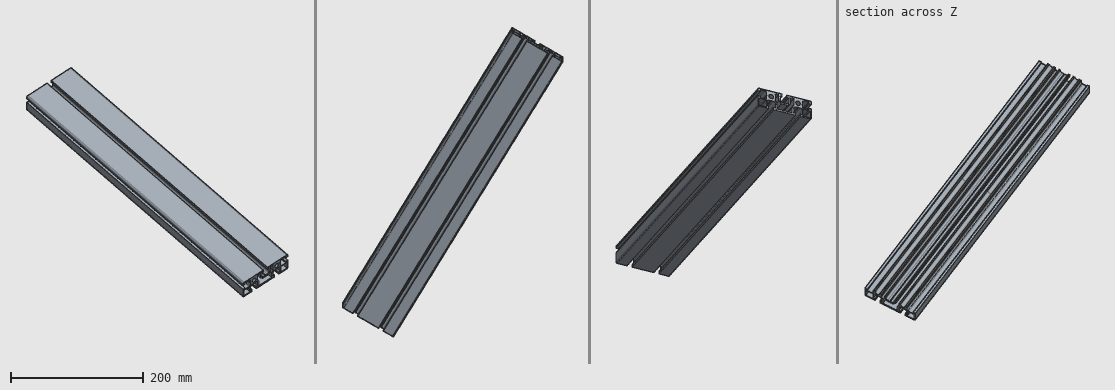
import cadquery as cq

LENGTH = 500
WIDTH = 90
HEIGHT = 32.0
EDGE_RADIUS = 2.5

SLOT_HALF_OPENING = 4.15
SLOT_HALF_CHANNEL = 7.0
SLOT_DEPTH = 15.0
SLOT_LIP = 4.3
SLOT_CORNER_RADIUS = 3.0
SLOT_GROOVE = 0.6
SIDE_SLOT_Z = 22.5
BOTTOM_SLOT_Y = 22.5

BORE_DIAMETER = 7.5

TOP_WALL = 3.0
BOTTOM_WALL = 3.0
SLOT_WALL = 2.9
SLOT_WALL_CHAMFER = 4.5
CAVITY_SHOULDER_TOP = 18.0
CAVITY_SHOULDER_BOTTOM = 12.0

HOLLOW_OUTER_WALL = 2.0
HOLLOW_SLOT_WALL = 1.25


def bar(half_width, bottom_z, top_z):
    """Bar along the whole length, centred on Y = 0 between two heights."""
    box = cq.Workplane("XY").box(LENGTH, 2 * half_width, top_z - bottom_z, centered=(True, True, False))
    return box.translate((0, 0, bottom_z))


def extrude_outline(points):
    """Extrude a closed (y, z) outline along the whole length."""
    return cq.Workplane("YZ").polyline(points).close().extrude(LENGTH / 2, both=True)


def slot_cutter():
    """T-slot open at Z = 0, with rounded floor corners and a V-groove along the floor."""
    opening = bar(SLOT_HALF_OPENING, 0, SLOT_LIP)
    channel = bar(SLOT_HALF_CHANNEL, SLOT_LIP, SLOT_DEPTH)
    channel = channel.edges("|X and >Z").fillet(SLOT_CORNER_RADIUS)
    groove = extrude_outline(
        [
            (-SLOT_GROOVE, SLOT_DEPTH),
            (SLOT_GROOVE, SLOT_DEPTH),
            (0, SLOT_DEPTH + SLOT_GROOVE),
        ]
    )
    return opening.union(channel).union(groove)


def slot_at(turn, y, z):
    """Slot turned about the X axis, with the middle of its mouth at (y, z)."""
    return slot_cutter().rotate((0, 0, 0), (1, 0, 0), turn).translate((0, y, z))


def central_cavity():
    """U-shaped cavity that leaves a wall around the upper slot."""
    slot_wall_y = SLOT_HALF_CHANNEL + SLOT_WALL
    slot_wall_z = HEIGHT - SLOT_DEPTH - SLOT_WALL
    top_z = HEIGHT - TOP_WALL
    upper_y = BOTTOM_SLOT_Y - SLOT_HALF_CHANNEL
    lower_y = upper_y - SLOT_WALL
    right_half = [
        (lower_y, BOTTOM_WALL),
        (lower_y, CAVITY_SHOULDER_BOTTOM),
        (upper_y, CAVITY_SHOULDER_TOP),
        (upper_y, top_z),
        (slot_wall_y, top_z),
        (slot_wall_y, slot_wall_z + SLOT_WALL_CHAMFER),
        (slot_wall_y - SLOT_WALL_CHAMFER, slot_wall_z),
    ]
    left_half = [(-y, z) for y, z in reversed(right_half)]
    return extrude_outline(right_half + left_half)


def corner_hollow(side):
    """Rectangular hollow between the outer wall, a bottom slot and a side slot."""
    inner_y = BOTTOM_SLOT_Y + SLOT_HALF_CHANNEL + HOLLOW_SLOT_WALL
    outer_y = WIDTH / 2 - HOLLOW_OUTER_WALL
    top_z = SIDE_SLOT_Z - SLOT_HALF_CHANNEL - HOLLOW_SLOT_WALL
    hollow = bar((outer_y - inner_y) / 2, HOLLOW_OUTER_WALL, top_z)
    return hollow.translate((0, side * (inner_y + outer_y) / 2, 0))


def bore(side):
    """Round bore in the solid block between the slots."""
    circle = cq.Workplane("YZ").center(side * BOTTOM_SLOT_Y, SIDE_SLOT_Z).circle(BORE_DIAMETER / 2)
    return circle.extrude(LENGTH / 2, both=True)


profile = bar(WIDTH / 2, 0, HEIGHT).edges("|X").fillet(EDGE_RADIUS)
profile = profile.cut(central_cavity())
profile = profile.cut(slot_at(180, 0, HEIGHT))

for side in (-1, 1):
    profile = profile.cut(slot_at(0, side * BOTTOM_SLOT_Y, 0))
    profile = profile.cut(slot_at(side * 90, side * WIDTH / 2, SIDE_SLOT_Z))
    profile = profile.cut(corner_hollow(side))
    profile = profile.cut(bore(side))

result = profile